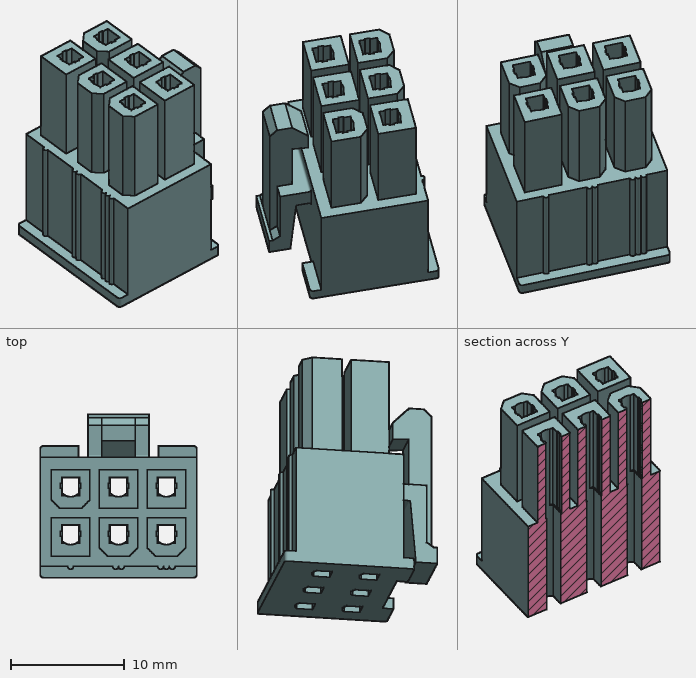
import cadquery as cq

HEIGHT = 19.6
WIDTH = 13.8
FLANGE_HEIGHT = 1.0
FLANGE_DEPTH = 11.6
FLANGE_CORNER_RADIUS = 0.3
FLANGE_NOTCH_WIDTH = 7.02
BODY_FRONT = 1.0
BODY_BACK = 10.62
BODY_TOP = 10.68

PITCH = 4.21
FRONT_ROW_Y = 3.59
TOWER_SIZE = 3.41
TOWER_CHAMFER = 0.76
CHAMFERED_TOWERS = [(1, 0), (2, 0), (0, 1)]

MOUTH_WIDTH = 1.59
MOUTH_BACK = 1.05
MOUTH_FRONT = -0.57
SIDE_NOTCH_SPAN = 1.8
SIDE_NOTCH_WIDTH = 0.45
SIDE_NOTCH_Y = 0.3
BORE_WIDTH = 1.43
BORE_BACK = 1.02
BORE_ARC_END = -0.37
BORE_ARC_FRONT = -0.67

RIB_RADIUS = 0.25
RIB_ROOT_DEPTH = 0.2

LEVER_WIDTH = 5.37
LEVER_BOTTOM = 2.21
LEVER_OUTER_Y = 14.4
LEVER_FOOT_INNER_Y = 12.49
LEVER_STEP_Z = 3.7
LEVER_SLOPE_TOP_Z = 4.14
LEVER_RECESS_Y = 13.43
LEVER_INNER_Y = 11.98
ARM_TOP = 9.47
ARM_BOTTOM = 7.94
ARM_ROOT_FILLET = 0.2
ARM_INNER_FILLET = 0.12
BEAM_WIDTH = 2.94
BEAM_OUTER_Y = 14.1
BEAM_INNER_Y = 12.07
HOOK_TOP = 17.03
HOOK_CHAMFER = BEAM_OUTER_Y - LEVER_RECESS_Y
HOOK_TIP_Y = BODY_BACK
HOOK_TIP_TOP = HOOK_TOP - (BEAM_INNER_Y - HOOK_TIP_Y)
HOOK_TIP_BOTTOM = 14.01
HOOK_INNER_Z = 14.15


def block(x_size, y_front, y_back, z_bottom, z_top, x_center=0.0):
    """Upright box given by its Y and Z limits, centred on x_center."""
    depth = y_back - y_front
    box = cq.Workplane("XY").box(x_size, depth, z_top - z_bottom, centered=(True, False, False))
    return box.translate((x_center, y_front, z_bottom))


def side_profile(points, width):
    """Extrude a (Y, Z) outline symmetrically about X = 0."""
    return cq.Workplane("YZ").polyline(points).close().extrude(width / 2, both=True)


def make_housing():
    flange = block(WIDTH, 0, FLANGE_DEPTH, 0, FLANGE_HEIGHT)
    flange = flange.edges("|Z").fillet(FLANGE_CORNER_RADIUS)
    notch = block(FLANGE_NOTCH_WIDTH, BODY_BACK, FLANGE_DEPTH, 0, FLANGE_HEIGHT)
    body = block(WIDTH, BODY_FRONT, BODY_BACK, 0, BODY_TOP)
    return flange.cut(notch).union(body)


def make_tower(x, y, chamfered):
    half = TOWER_SIZE / 2
    tower = block(TOWER_SIZE, y - half, y + half, BODY_TOP, HEIGHT, x)
    if chamfered:
        tower = tower.edges("|Z and <Y").chamfer(TOWER_CHAMFER)
    return tower


def make_passage(x, y):
    """Bore with an arched front over the full height, widened to a notched mouth in the tower."""
    half_bore = BORE_WIDTH / 2
    bore = (
        cq.Workplane("XY")
        .moveTo(-half_bore, BORE_ARC_END)
        .threePointArc((0, BORE_ARC_FRONT), (half_bore, BORE_ARC_END))
        .lineTo(half_bore, BORE_BACK)
        .lineTo(-half_bore, BORE_BACK)
        .close()
        .extrude(HEIGHT)
    )
    mouth = block(MOUTH_WIDTH, MOUTH_FRONT, MOUTH_BACK, BODY_TOP, HEIGHT)
    notch_front = SIDE_NOTCH_Y - SIDE_NOTCH_WIDTH / 2
    notch_back = SIDE_NOTCH_Y + SIDE_NOTCH_WIDTH / 2
    notches = block(SIDE_NOTCH_SPAN, notch_front, notch_back, BODY_TOP, HEIGHT)
    return bore.union(mouth).union(notches).translate((x, y, 0))


def make_ribs(x, count):
    """Group of touching half-round ribs centred on x, rooted inside the body."""
    left = x - count * RIB_RADIUS
    right = x + count * RIB_RADIUS
    outline = cq.Workplane("XY").moveTo(left, BODY_FRONT)
    for i in range(count):
        middle = left + (2 * i + 1) * RIB_RADIUS
        outline = outline.threePointArc((middle, BODY_FRONT - RIB_RADIUS), (middle + RIB_RADIUS, BODY_FRONT))
    root_y = BODY_FRONT + RIB_ROOT_DEPTH
    outline = outline.lineTo(right, root_y).lineTo(left, root_y).close()
    return outline.extrude(BODY_TOP - FLANGE_HEIGHT).translate((0, 0, FLANGE_HEIGHT))


def make_lever():
    lever = side_profile(
        [
            (BODY_BACK, ARM_TOP),
            (LEVER_RECESS_Y, ARM_TOP),
            (LEVER_RECESS_Y, LEVER_SLOPE_TOP_Z),
            (BEAM_OUTER_Y, LEVER_STEP_Z),
            (LEVER_OUTER_Y, LEVER_STEP_Z),
            (LEVER_OUTER_Y, LEVER_BOTTOM),
            (LEVER_FOOT_INNER_Y, LEVER_BOTTOM),
            (LEVER_INNER_Y, ARM_BOTTOM),
            (BODY_BACK, ARM_BOTTOM),
        ],
        LEVER_WIDTH,
    )
    inner_corner = cq.selectors.NearestToPointSelector((0, LEVER_INNER_Y, ARM_BOTTOM))
    return lever.edges(inner_corner).fillet(ARM_INNER_FILLET)


def make_root_fillet(z, direction):
    """Concave fillet between the lever arm and the body back; direction is +1 above, -1 below."""
    radius = ARM_ROOT_FILLET
    strip = side_profile(
        [
            (BODY_BACK, z),
            (BODY_BACK + radius, z),
            (BODY_BACK + radius, z + direction * radius),
            (BODY_BACK, z + direction * radius),
        ],
        LEVER_WIDTH,
    )
    round_cut = (
        cq.Workplane("YZ")
        .center(BODY_BACK + radius, z + direction * radius)
        .circle(radius)
        .extrude(LEVER_WIDTH / 2, both=True)
    )
    return strip.cut(round_cut)


def make_hooked_beam():
    return side_profile(
        [
            (BEAM_OUTER_Y, LEVER_STEP_Z),
            (BEAM_OUTER_Y, HOOK_TOP - HOOK_CHAMFER),
            (BEAM_OUTER_Y - HOOK_CHAMFER, HOOK_TOP),
            (BEAM_INNER_Y, HOOK_TOP),
            (HOOK_TIP_Y, HOOK_TIP_TOP),
            (HOOK_TIP_Y, HOOK_TIP_BOTTOM),
            (BEAM_INNER_Y, HOOK_INNER_Z),
            (BEAM_INNER_Y, ARM_TOP),
            (LEVER_RECESS_Y, ARM_TOP),
            (LEVER_RECESS_Y, LEVER_STEP_Z),
        ],
        BEAM_WIDTH,
    )


result = make_housing()

for column in range(3):
    column_x = (column - 1) * PITCH
    result = result.union(make_ribs(column_x, column + 1))
    for row in range(2):
        row_y = FRONT_ROW_Y + row * PITCH
        result = result.union(make_tower(column_x, row_y, (column, row) in CHAMFERED_TOWERS))
        result = result.cut(make_passage(column_x, row_y))

result = result.union(make_lever()).union(make_hooked_beam())
result = result.union(make_root_fillet(ARM_TOP, 1)).union(make_root_fillet(ARM_BOTTOM, -1))